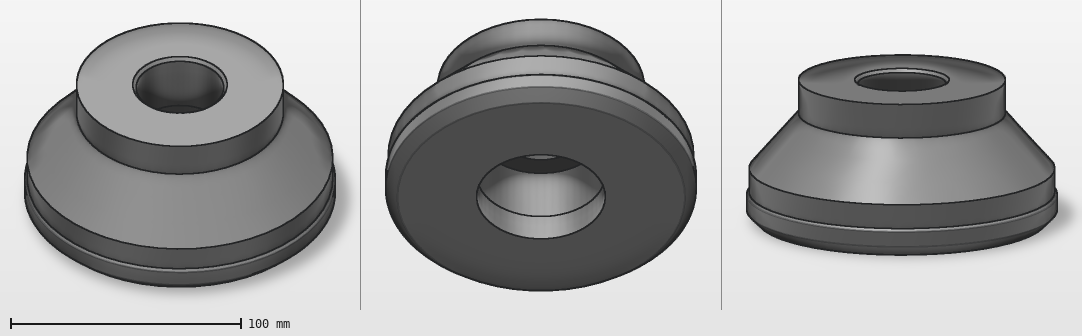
import cadquery as cq

total_height = 63.0
shoulder_radius = 66.4
shoulder_height = 23.5
neck_radius = 45.0
neck_height = 15.0
bore_radius = 19.0
bore_chamfer = 1.5
bore_length = 25.4
lower_bore_radius = 28.0

outer_radius = 67.5
foot_radius = 62.5
foot_bevel_height = 5.0
ring_height = 12.8
ring_edge_bevel = outer_radius - shoulder_radius
ring_edge_fillet = 0.5


def revolve_profile(points):
    """Turn a closed (radius, height) outline about the Z axis."""
    return cq.Workplane("XZ").polyline(points).close().revolve(360, (0, 0), (0, 1))


def make_ring():
    """Base ring with a large lower bevel and a narrow bevel up to the bell, rounded outside."""
    ring = revolve_profile([
        (lower_bore_radius, 0),
        (foot_radius, 0),
        (outer_radius, foot_bevel_height),
        (outer_radius, ring_height - ring_edge_bevel),
        (outer_radius - ring_edge_bevel, ring_height),
        (lower_bore_radius, ring_height),
    ])
    largest_circle = cq.selectors.RadiusNthSelector(-1)
    ring = ring.edges("%CIRCLE").edges(largest_circle).fillet(ring_edge_fillet)
    return ring.edges("<Z").edges(largest_circle).fillet(ring_edge_fillet)


def make_bell():
    """Conical bell with a straight skirt, a cylindrical neck and a chamfered bore that widens below."""
    return revolve_profile([
        (lower_bore_radius, ring_height),
        (shoulder_radius, ring_height),
        (shoulder_radius, shoulder_height),
        (neck_radius, total_height - neck_height),
        (neck_radius, total_height),
        (bore_radius + bore_chamfer, total_height),
        (bore_radius, total_height - bore_chamfer),
        (bore_radius, total_height - bore_length),
        (lower_bore_radius, total_height - bore_length),
    ])


ring = make_ring()
bell = make_bell()
result = cq.Compound.makeCompound([ring.val(), bell.val()])